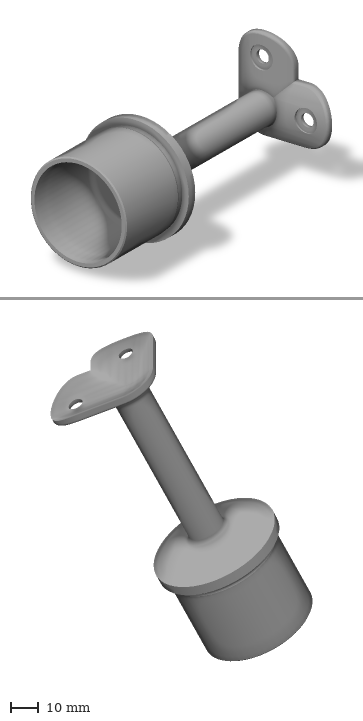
import cadquery as cq
import math


INSERT_RADIUS = 21.5
INSERT_CHAMFER = 0.5
INSERT_LENGTH = 32.0
RELIEF_RADIUS = 21.2
RELIEF_TAPER = 0.7
CAVITY_RADIUS = 19.5
CAVITY_DEPTH = 35.0
CAVITY_FLOOR_FILLET = 2.0

COLLAR_RADIUS = 48.3 / 2
COLLAR_BOTTOM = 35.0
COLLAR_TOP = 39.0
DOME_HEIGHT = 6.0

POST_RADIUS = 7.0
POST_FILLET = 2.0

RAIL_RADIUS = 48.3 / 2
SADDLE_THICKNESS = 2.5
SADDLE_VALLEY = 115.5
ARM_HALF_WIDTH = 12.5
ARM_REACH = 30.0
SADDLE_EDGE_FILLET = 1.0
SCREW_POSITION = 20.0
SCREW_HOLE_DIAMETER = 5.5
SCREW_HEAD_DIAMETER = 10.0
SCREW_HEAD_FLOOR = 1.5

DOME_RADIUS = (COLLAR_RADIUS**2 + DOME_HEIGHT**2) / (2 * DOME_HEIGHT)
DOME_CENTER = COLLAR_TOP + DOME_HEIGHT - DOME_RADIUS
RAIL_AXIS = SADDLE_VALLEY + RAIL_RADIUS
SADDLE_OUTER_RADIUS = RAIL_RADIUS + SADDLE_THICKNESS
SADDLE_TOP = RAIL_AXIS - math.sqrt(RAIL_RADIUS**2 - ARM_HALF_WIDTH**2)
ARM_LENGTH = ARM_REACH - ARM_HALF_WIDTH
TOLERANCE = 1e-3


def point_on_ball(center, radius, distance_from_axis, side):
    """Profile point on a ball centred on the post axis; side is +1 above, -1 below its centre."""
    return (distance_from_axis, center + side * math.sqrt(radius**2 - distance_from_axis**2))


def post_fillet_points(center, radius, side):
    """Start (on the post), middle and end (on the ball) of the fillet between post and ball."""
    fillet_x, fillet_y = point_on_ball(center, radius + POST_FILLET, POST_RADIUS + POST_FILLET, side)
    ball_angle = math.atan2(center - fillet_y, -fillet_x) % (2 * math.pi)
    middle_angle = (math.pi + ball_angle) / 2

    def at(angle):
        return (fillet_x + POST_FILLET * math.cos(angle), fillet_y + POST_FILLET * math.sin(angle))

    return at(math.pi), at(middle_angle), at(ball_angle)


def make_turned_body():
    """Insert, collar, dome and post, with the post flaring into the ball of the saddle corner."""
    low_start, low_middle, low_end = post_fillet_points(DOME_CENTER, DOME_RADIUS, 1)
    high_start, high_middle, high_end = post_fillet_points(RAIL_AXIS, SADDLE_OUTER_RADIUS, -1)
    dome_middle = point_on_ball(DOME_CENTER, DOME_RADIUS, (low_end[0] + COLLAR_RADIUS) / 2, 1)
    profile = (
        cq.Workplane("XY")
        .lineTo(INSERT_RADIUS - INSERT_CHAMFER, 0)
        .lineTo(INSERT_RADIUS, INSERT_CHAMFER)
        .lineTo(INSERT_RADIUS, INSERT_LENGTH)
        .lineTo(RELIEF_RADIUS, INSERT_LENGTH + RELIEF_TAPER)
        .lineTo(RELIEF_RADIUS, COLLAR_BOTTOM)
        .lineTo(COLLAR_RADIUS, COLLAR_BOTTOM)
        .lineTo(COLLAR_RADIUS, COLLAR_TOP)
        .threePointArc(dome_middle, low_end)
        .threePointArc(low_middle, low_start)
        .lineTo(*high_start)
        .threePointArc(high_middle, high_end)
        .lineTo(high_end[0], SADDLE_VALLEY)
        .lineTo(0, SADDLE_VALLEY)
        .close()
    )
    return profile.revolve(360, (0, 0, 0), (0, 1, 0))


def make_cavity():
    """Blind bore of the insert with a rounded floor corner."""
    bore = cq.Workplane("XZ").circle(CAVITY_RADIUS).extrude(-CAVITY_DEPTH)
    return bore.faces(">Y").edges().fillet(CAVITY_FLOOR_FILLET)


def add_turned_copy(arm):
    """Join an arm along +X with its copy turned about the post axis to lie along +Z."""
    return arm.union(arm.rotate((0, 0, 0), (0, 1, 0), -90))


def make_bar(radius):
    """Round bar along +X on the rail axis, with a ball around its start."""
    corner = cq.Vector(0, RAIL_AXIS, 0)
    ball = cq.Workplane("XY").sphere(radius).translate(corner)
    bar = cq.Solid.makeCylinder(radius, ARM_REACH, corner, cq.Vector(1, 0, 0))
    return ball.union(bar)


def make_arm_plug():
    """Saddle arm along +X, filled up to the saddle top, with a rounded outer edge."""
    outline = (
        cq.Workplane("XZ", origin=(0, SADDLE_TOP, 0))
        .center(ARM_LENGTH / 2, 0)
        .slot2D(ARM_LENGTH + 2 * ARM_HALF_WIDTH, 2 * ARM_HALF_WIDTH)
        .extrude(RAIL_RADIUS)
    )
    plug = outline.intersect(make_bar(SADDLE_OUTER_RADIUS))
    return plug.edges().filter(is_saddle_rim).fillet(SADDLE_EDGE_FILLET)


def is_saddle_rim(edge):
    """True for the edges where the side wall of the arm along +X meets its outer surface."""
    start, middle, end = (edge.positionAt(fraction) for fraction in (0, 0.5, 1))
    nearest_x = min(max(middle.x, 0), ARM_LENGTH)
    on_wall = abs(math.hypot(middle.x - nearest_x, middle.z) - ARM_HALF_WIDTH) < TOLERANCE
    below_top = middle.y < SADDLE_TOP - TOLERANCE
    upright = math.hypot(end.x - start.x, end.z - start.z) < TOLERANCE
    return on_wall and below_top and not upright


def make_screw_holes():
    """One hole per arm, counterbored from the post side."""
    head_seat = SADDLE_VALLEY - SCREW_HEAD_FLOOR
    centers = [(SCREW_POSITION, 0), (0, SCREW_POSITION)]
    shank = cq.Workplane("XZ", origin=(0, SADDLE_TOP, 0)).pushPoints(centers)
    head = cq.Workplane("XZ", origin=(0, head_seat, 0)).pushPoints(centers)
    shank_holes = shank.circle(SCREW_HOLE_DIAMETER / 2).extrude(RAIL_RADIUS)
    return shank_holes.union(head.circle(SCREW_HEAD_DIAMETER / 2).extrude(RAIL_RADIUS))


result = (
    make_turned_body()
    .cut(make_cavity())
    .union(add_turned_copy(make_arm_plug()))
    .cut(add_turned_copy(make_bar(RAIL_RADIUS)))
    .cut(make_screw_holes())
)